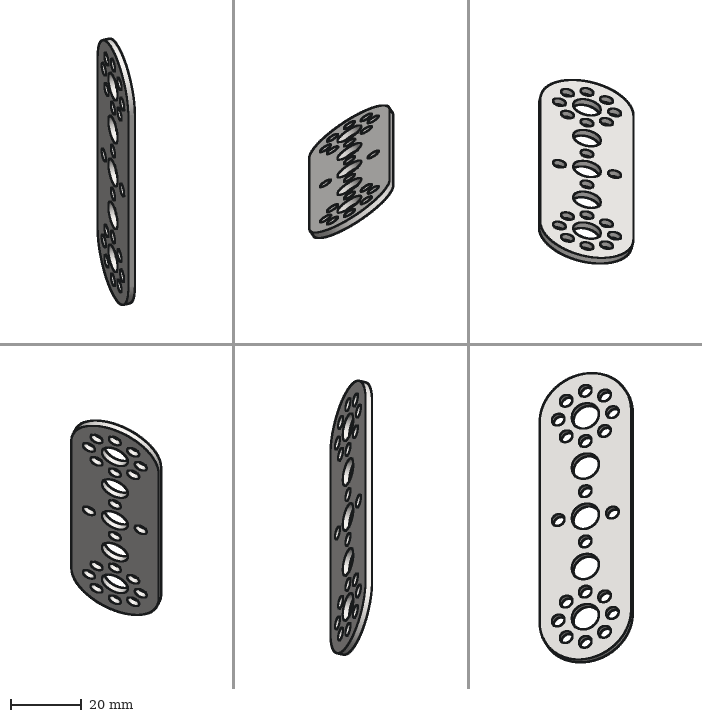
import cadquery as cq

plate_width = 27.0
plate_thickness = 2.0

large_hole_diameter = 8.0
small_hole_diameter = 3.7
large_hole_pitch = 16.0
large_hole_count = 5
ring_radius = large_hole_pitch / 2
end_ring_count = 8
middle_ring_count = 4

end_center_z = large_hole_pitch * (large_hole_count - 1) / 2
plate_length = 2 * end_center_z + plate_width


def back_face_plane(center_z=0):
    """Sketch plane on the +Y face of the plate; extrusions run toward -Y."""
    return cq.Workplane("XZ", origin=(0, plate_thickness / 2, center_z))


def make_plate():
    """Round-ended plate, centred on the origin."""
    return back_face_plane().slot2D(plate_length, plate_width, 90).extrude(plate_thickness)


def cut_large_holes(body):
    """Row of large through holes along the long axis."""
    cutters = (
        back_face_plane()
        .rarray(1, large_hole_pitch, 1, large_hole_count)
        .circle(large_hole_diameter / 2)
        .extrude(plate_thickness)
    )
    return body.cut(cutters)


def cut_hole_ring(body, center_z, hole_count):
    """Ring of small through holes around the large hole at height center_z."""
    cutters = (
        back_face_plane(center_z)
        .polarArray(ring_radius, 0, 360, hole_count)
        .circle(small_hole_diameter / 2)
        .extrude(plate_thickness)
    )
    return body.cut(cutters)


result = cut_large_holes(make_plate())
result = cut_hole_ring(result, 0, middle_ring_count)
for ring_z in (-end_center_z, end_center_z):
    result = cut_hole_ring(result, ring_z, end_ring_count)